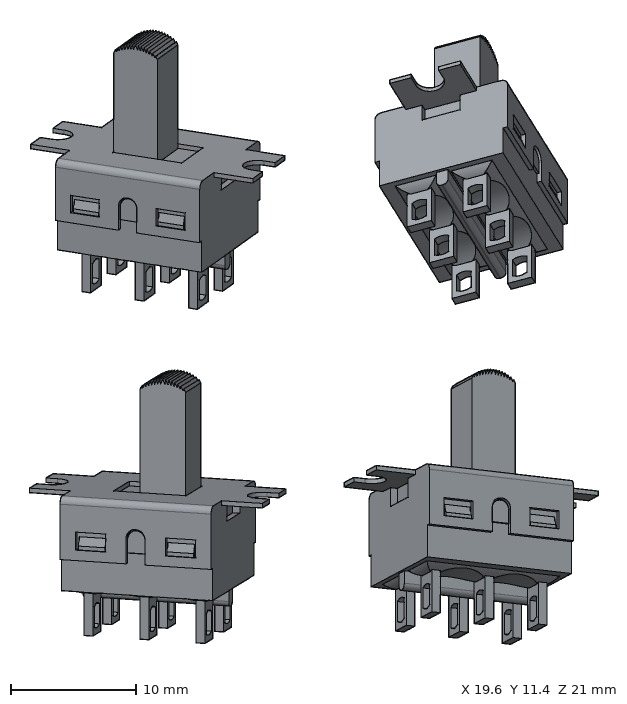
import cadquery as cq
import math


sheet = 0.38
body_length = 12.7
frame_width = 11.43
frame_depth = 5.08
bend_radius = 1.5 * sheet
flange_length = 19.56
flange_width = 6.1
notch_radius = 1.19
notch_centre_x = 8.79

base_width = frame_width - 2 * sheet
base_bottom_z = -7.7
end_recess_width = 3.28
end_recess_bottom_z = -1.93
end_recess_depth = 0.6

window_length = 2.53
window_centre_x = 3.78
window_top_z = -2.76
window_bottom_z = -4.23
latch_length = 2.24
latch_centre_x = 3.72
latch_top_z = -3.2
latch_knee_z = -3.91
latch_bottom_z = window_bottom_z
latch_height = 0.25

arch_radius = 0.8
arch_top_z = -2.24
boss_radius = 0.74
boss_top_z = -2.37
boss_bottom_z = window_bottom_z
boss_height = 0.2

slot_length = 6.1
slot_width = 4.04
slot_depth = sheet
slider_length = 3.84
slider_width = 3.91
slider_centre_x = -1.055
slider_top_z = 9.34
crown_radius = 2.7
root_radius = 3.6
root_drop = 0.38
tooth_pitch = 0.254
teeth_per_side = 7
tooth_undercut = 0.07

terminal_pitch_x = 4.7
terminal_pitch_y = 4.81
terminal_thickness = 0.76
terminal_width = 2.08
terminal_bottom_z = -11.64
eye_width = 1.24
eye_top_z = -9.12
eye_bottom_z = -11.14
eye_arc_rise = 0.18

seal_tip_z = -8.27
seal_valley_z = -7.87
seal_half_length = 5.85
seal_half_width = 1.77
seal_tip_half_width = 0.73
seal_bulge = 0.08

rib_length = 12.26
rib_width = 1.0
rib_bottom_z = -9.18
rib_round = 0.46


def block(length, width, bottom_z, top_z, x=0, y=0):
    """Box centred on (x, y) between two heights."""
    return (
        cq.Workplane("XY", origin=(x, y, bottom_z))
        .rect(length, width)
        .extrude(top_z - bottom_z)
    )


def along_y(outline_plane, width):
    """Extrude an XZ outline symmetrically along Y."""
    return outline_plane.extrude(width / 2, both=True)


def arch(radius, top_z, bottom_z, width):
    """Round-topped prism running along Y."""
    spring_z = top_z - radius
    outline = (
        cq.Workplane("XZ")
        .moveTo(-radius, bottom_z)
        .lineTo(-radius, spring_z)
        .threePointArc((0, top_z), (radius, spring_z))
        .lineTo(radius, bottom_z)
        .close()
    )
    return along_y(outline, width)


def make_frame():
    """Bent sheet frame with notched flange, windows and arched slots, filled solid inside."""
    frame = block(body_length, frame_width, -frame_depth, 0)
    frame = frame.edges("|X and >Z").fillet(bend_radius)
    frame = frame.union(block(flange_length, flange_width, -sheet, 0))
    notch_run = flange_length / 2 - notch_centre_x
    for side in (-1, 1):
        round_end = (
            cq.Workplane("XY", origin=(side * notch_centre_x, 0, -sheet))
            .circle(notch_radius)
            .extrude(sheet)
        )
        mouth_x = side * (notch_centre_x + notch_run / 2)
        mouth = block(notch_run, 2 * notch_radius, -sheet, 0, mouth_x)
        frame = frame.cut(round_end).cut(mouth)
        window = block(
            window_length, frame_width, window_bottom_z, window_top_z, side * window_centre_x
        )
        frame = frame.cut(window)
    return frame.cut(arch(arch_radius, arch_top_z, -frame_depth, frame_width))


def make_base():
    """Plastic base that closes the back of the frame openings."""
    base = block(body_length, base_width, base_bottom_z, -sheet)
    return base.union(arch(boss_radius, boss_top_z, boss_bottom_z, base_width + 2 * boss_height))


def make_latch(x, side):
    """Wedge whose sloping top lets the frame snap over it."""
    wall_y = side * base_width / 2
    outer_y = wall_y + side * latch_height
    return (
        cq.Workplane("YZ", origin=(x - latch_length / 2, 0, 0))
        .polyline([
            (0, latch_top_z),
            (wall_y, latch_top_z),
            (outer_y, latch_knee_z),
            (outer_y, latch_bottom_z),
            (0, latch_bottom_z),
        ])
        .close()
        .extrude(latch_length)
    )


def make_end_recesses():
    """Pockets in both end walls just under the flange."""
    recess_x = (body_length - end_recess_depth) / 2
    recesses = cq.Workplane("XY")
    for side in (-1, 1):
        recesses = recesses.add(
            block(end_recess_depth, end_recess_width, end_recess_bottom_z, -sheet, side * recess_x)
        )
    return recesses


def crown_z(offset):
    """Height of the tooth tips at a distance from the slider centre."""
    return slider_top_z - crown_radius + math.sqrt(crown_radius**2 - offset**2)


def root_z(offset):
    """Height of the tooth roots at a distance from the slider centre."""
    return slider_top_z - root_drop - root_radius + math.sqrt(root_radius**2 - offset**2)


def make_slider():
    """Slider post with a domed, saw-toothed thumb grip."""
    half_length = slider_length / 2
    right_teeth = []
    for index in range(1, teeth_per_side + 1):
        tip = index * tooth_pitch
        root = tip - tooth_undercut
        right_teeth.append((root, root_z(root)))
        right_teeth.append((tip, crown_z(tip)))
    right_teeth.append((half_length, root_z(half_length)))
    left_teeth = [(-offset, z) for offset, z in reversed(right_teeth)]
    outline = (
        cq.Workplane("XZ", origin=(slider_centre_x, 0, 0))
        .polyline(
            [(-half_length, -slot_depth)]
            + left_teeth
            + [(0, slider_top_z)]
            + right_teeth
            + [(half_length, -slot_depth)]
        )
        .close()
    )
    return along_y(outline, slider_width)


def make_terminal(x, y):
    """Flat solder lug with an eye that has shallow arched ends."""
    lug = block(terminal_thickness, terminal_width, terminal_bottom_z, base_bottom_z, x, y)
    half_eye = eye_width / 2
    eye = (
        cq.Workplane("YZ", origin=(x, y, 0))
        .moveTo(-half_eye, eye_bottom_z + eye_arc_rise)
        .lineTo(-half_eye, eye_top_z - eye_arc_rise)
        .threePointArc((0, eye_top_z), (half_eye, eye_top_z - eye_arc_rise))
        .lineTo(half_eye, eye_bottom_z + eye_arc_rise)
        .threePointArc((0, eye_bottom_z), (-half_eye, eye_bottom_z + eye_arc_rise))
        .close()
        .extrude(terminal_thickness / 2, both=True)
    )
    return lug.cut(eye)


def make_seal(y):
    """Bead of sealing compound that creeps down each terminal of one row."""
    flank_mid_y = (seal_half_width + seal_tip_half_width) / 2
    flank_mid_z = (base_bottom_z + seal_tip_z) / 2 - seal_bulge
    section = (
        cq.Workplane("YZ", origin=(0, y, 0))
        .moveTo(-seal_half_width, base_bottom_z)
        .threePointArc((-flank_mid_y, flank_mid_z), (-seal_tip_half_width, seal_tip_z))
        .lineTo(seal_tip_half_width, seal_tip_z)
        .threePointArc((flank_mid_y, flank_mid_z), (seal_half_width, base_bottom_z))
        .close()
        .extrude(seal_half_length, both=True)
    )
    tip_half_length = terminal_thickness / 2
    valley_half_length = terminal_pitch_x / 2 - tip_half_length
    outer_tip_x = terminal_pitch_x + tip_half_length
    end_mid_x = (seal_half_length + outer_tip_x) / 2
    scallops = (
        cq.Workplane("XZ", origin=(0, y, 0))
        .moveTo(-seal_half_length, base_bottom_z)
        .threePointArc((-end_mid_x, flank_mid_z), (-outer_tip_x, seal_tip_z))
    )
    for valley_x in (-terminal_pitch_x / 2, terminal_pitch_x / 2):
        scallops = (
            scallops.lineTo(valley_x - valley_half_length, seal_tip_z)
            .threePointArc((valley_x, seal_valley_z), (valley_x + valley_half_length, seal_tip_z))
        )
    scallops = (
        scallops.lineTo(outer_tip_x, seal_tip_z)
        .threePointArc((end_mid_x, flank_mid_z), (seal_half_length, base_bottom_z))
        .close()
        .extrude(seal_half_width, both=True)
    )
    return section.intersect(scallops)


def make_rib():
    """Round-edged rib under the base, between the two terminal rows."""
    rib = block(rib_length, rib_width, rib_bottom_z, base_bottom_z)
    return rib.edges("|X and <Z").fillet(rib_round)


result = make_frame().union(make_base())
result = result.cut(make_end_recesses())
result = result.cut(block(slot_length, slot_width, -slot_depth, 0))
result = result.union(make_slider()).union(make_rib())

for side_y in (-1, 1):
    for side_x in (-1, 1):
        result = result.union(make_latch(side_x * latch_centre_x, side_y))
    row_y = side_y * terminal_pitch_y / 2
    result = result.union(make_seal(row_y))
    for column in (-1, 0, 1):
        result = result.union(make_terminal(column * terminal_pitch_x, row_y))